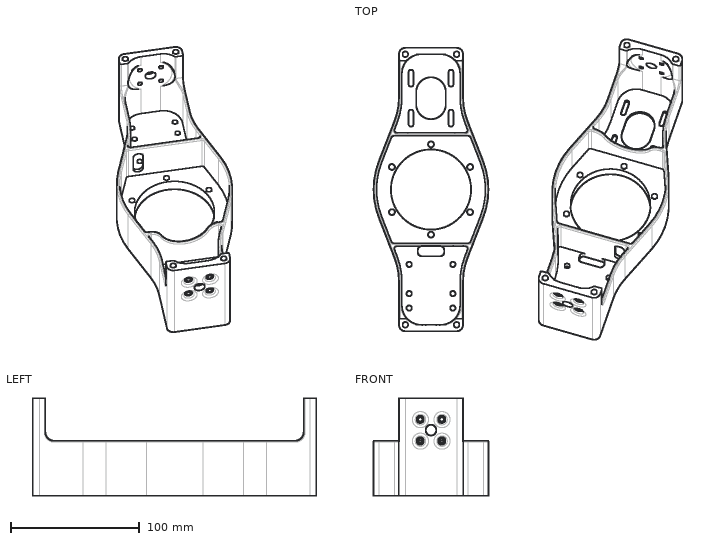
import cadquery as cq
import math

length = 220.0
height = 76.0
arm_width = 50.0
belly_width = 89.3
belly_radius = 60.0
neck_radius = 50.0
neck_center_y = 71.3
corner_radius = 5.0

wall = 2.5
belly_floor = 10.0
board_floor = 6.0
motor_floor = 2.6
end_wall = 5.0
pocket_corner_radius = 15.0
rib_inner_y = 41.5
rib_corner_radius = 2.0
rib_clearance = 0.5

rim_height = 43.0
post_depth = 10.0
saddle_radius = 6.5
rim_rounding = 1.0

dip_radius = 20.0
dip_shoulder_radius = 10.0
dip_depth = 17.2

window_width = 7.7
window_height = 22.0
window_x = 21.1
window_z = 25.0

shaft_z = 51.0
shaft_diameter = 8.1
screw_offset = 8.4
screw_diameter = 3.3
screw_seat_diameter = 5.7
screw_cone_diameter = 8.1
screw_mouth_radius = 3.0
hub_radius = 18.5
hub_rounding = 1.8
hub_length = 11.0

post_hole_diameter = 4.5
post_hole_depth = 15.0

bore_diameter = 62.0
bore_screw_circle = 70.0
bore_screw_count = 6
bore_screw_diameter = 4.5

motor_y = 70.8
motor_pitch = 31.0
motor_travel = 9.5
motor_boss_diameter = 22.9
motor_slot_width = 3.5

board_hole_diameter = 4.0
board_hole_x = 17.0
board_hole_rows = (-58.0, -80.7, -92.0)

cable_slot_length = 20.5
cable_slot_width = 7.7
cable_slot_radius = 3.0

tolerance = 0.0002

half_length = length / 2
rib_outer_y = rib_inner_y + wall
pocket_end_y = half_length - end_wall
saddle_end_y = half_length - post_depth
post_hole_x = arm_width / 2 - corner_radius
post_hole_y = half_length - corner_radius


def body_outline(inset, end_y):
    """Closed plan outline with a round belly and straight arms, moved inwards by `inset`."""
    arm_x = arm_width / 2 - inset
    belly_r = belly_radius - inset
    neck_r = neck_radius + inset
    belly_center_x = belly_width / 2 - belly_radius
    neck_center_x = arm_width / 2 + neck_radius

    dx = neck_center_x - belly_center_x
    turn = math.atan2(neck_center_y, dx) - math.acos(
        (belly_radius + neck_radius) / math.hypot(dx, neck_center_y)
    )

    def belly_point(angle):
        return belly_center_x + belly_r * math.cos(angle), belly_r * math.sin(angle)

    def neck_point(angle):
        return neck_center_x - neck_r * math.cos(angle), neck_center_y - neck_r * math.sin(angle)

    def mirror_y(point):
        return point[0], -point[1]

    def mirror_x(point):
        return -point[0], point[1]

    neck_start = (arm_x, neck_center_y)
    neck_middle = neck_point(turn / 2)
    neck_end = neck_point(turn)
    belly_start = belly_point(turn)
    belly_middle = belly_point(0)

    return (
        cq.Workplane("XY")
        .moveTo(-arm_x, end_y)
        .lineTo(arm_x, end_y)
        .lineTo(*neck_start)
        .threePointArc(neck_middle, neck_end)
        .lineTo(*belly_start)
        .threePointArc(belly_middle, mirror_y(belly_start))
        .lineTo(*mirror_y(neck_end))
        .threePointArc(mirror_y(neck_middle), mirror_y(neck_start))
        .lineTo(arm_x, -end_y)
        .lineTo(-arm_x, -end_y)
        .lineTo(*mirror_x(mirror_y(neck_start)))
        .threePointArc(mirror_x(mirror_y(neck_middle)), mirror_x(mirror_y(neck_end)))
        .lineTo(*mirror_x(mirror_y(belly_start)))
        .threePointArc(mirror_x(belly_middle), mirror_x(belly_start))
        .lineTo(*mirror_x(neck_end))
        .threePointArc(mirror_x(neck_middle), mirror_x(neck_start))
        .close()
    )


def slab(y_min, y_max):
    """Wide full-height block between two Y positions."""
    return (
        cq.Workplane("XY")
        .box(belly_width, y_max - y_min, height, centered=(True, False, False))
        .translate((0, y_min, 0))
    )


def make_pockets():
    """Three pockets separated by the two ribs, each with its own floor thickness."""
    hollow = body_outline(wall, pocket_end_y).extrude(height)
    middle = hollow.intersect(slab(-rib_inner_y, rib_inner_y)).translate((0, 0, belly_floor))
    middle = middle.edges("|Z").edges("<Y or >Y").fillet(rib_corner_radius)
    arm = hollow.intersect(slab(rib_outer_y, half_length))
    arm = arm.edges("|Z").edges("<Y").fillet(rib_corner_radius)
    arm = arm.edges("|Z").edges(">Y").fillet(pocket_corner_radius)
    motor_pocket = arm.translate((0, 0, motor_floor))
    board_pocket = arm.mirror("XZ").translate((0, 0, board_floor))
    return middle.union(motor_pocket).union(board_pocket)


def make_saddle():
    """Space between the end posts, rounded where it meets them."""
    return (
        slab(-saddle_end_y, saddle_end_y)
        .translate((0, 0, rim_height))
        .edges("|X and <Z")
        .fillet(saddle_radius)
    )


def make_rib_dip():
    """Round dip with tangent shoulders, cut through the +Y rib only."""
    turn = math.acos(1 - dip_depth / (dip_radius + dip_shoulder_radius))
    bottom_z = rim_height - dip_depth
    shoulder_x = (dip_radius + dip_shoulder_radius) * math.sin(turn)
    join_x = dip_radius * math.sin(turn)
    join_z = bottom_z + dip_radius * (1 - math.cos(turn))
    mid_x = shoulder_x - dip_shoulder_radius * math.sin(turn / 2)
    mid_z = rim_height - dip_shoulder_radius * (1 - math.cos(turn / 2))
    return (
        cq.Workplane("XZ", origin=(0, rib_outer_y + rib_clearance, 0))
        .moveTo(-shoulder_x, rim_height)
        .threePointArc((-mid_x, mid_z), (-join_x, join_z))
        .threePointArc((0, bottom_z), (join_x, join_z))
        .threePointArc((mid_x, mid_z), (shoulder_x, rim_height))
        .close()
        .extrude(wall + 2 * rib_clearance)
    )


def rim_edges(body, cutter):
    """Border edges of the surface left by `cutter`, without those on the post tops."""
    cut_surface = cutter.val().Shells()[0]

    def on_cut_surface(edge):
        return all(
            cut_surface.distance(cq.Vertex.makeVertex(*edge.positionAt(t).toTuple())) < tolerance
            for t in (0, 0.5, 1)
        )

    rim_faces = [f for f in body.faces().vals() if all(on_cut_surface(e) for e in f.Edges())]
    edges = [e for f in rim_faces for e in f.Edges()]
    border = [e for e in edges if sum(e.isSame(other) for other in edges) == 1]
    return [e for e in border if e.Center().z < height - tolerance]


def make_screw_recess():
    """Screw hole along +Y from the origin: rounded mouth, 45 degree cone, flat seat and through hole."""
    hole_r = screw_diameter / 2
    seat_r = screw_seat_diameter / 2
    cone_r = screw_cone_diameter / 2
    mouth_turn = math.radians(45)
    mouth_r = cone_r + screw_mouth_radius * math.sin(mouth_turn)
    cone_start_y = screw_mouth_radius * (1 - math.cos(mouth_turn))
    seat_y = cone_start_y + cone_r - seat_r
    mouth_middle = (
        mouth_r - screw_mouth_radius * math.sin(mouth_turn / 2),
        screw_mouth_radius * (1 - math.cos(mouth_turn / 2)),
    )
    return (
        cq.Workplane("XY")
        .lineTo(mouth_r, 0)
        .threePointArc(mouth_middle, (cone_r, cone_start_y))
        .lineTo(seat_r, seat_y)
        .lineTo(hole_r, seat_y)
        .lineTo(hole_r, end_wall)
        .lineTo(0, end_wall)
        .close()
        .revolve(360, (0, 0, 0), (0, 1, 0))
    )


def make_end_wall_cuts():
    """Shaft hole, four screw recesses and round hub clearance of the -Y end wall."""
    wall_plane = cq.Workplane("XZ", origin=(0, -pocket_end_y, shaft_z))
    shaft = wall_plane.circle(shaft_diameter / 2).extrude(end_wall)
    hub = wall_plane.circle(hub_radius).extrude(-hub_length).edges("<Y").fillet(hub_rounding)
    cuts = shaft.union(hub)
    for x in (-screw_offset, screw_offset):
        for z in (-screw_offset, screw_offset):
            cuts = cuts.union(make_screw_recess().translate((x, -half_length, shaft_z + z)))
    return cuts


def make_post_holes():
    """Blind holes in the post tops."""
    return (
        cq.Workplane("XY", origin=(0, 0, height - post_hole_depth))
        .rect(2 * post_hole_x, 2 * post_hole_y, forConstruction=True)
        .vertices()
        .circle(post_hole_diameter / 2)
        .extrude(post_hole_depth)
    )


def make_floor_openings():
    """Openings through the floor of all three pockets."""
    base = cq.Workplane("XY")
    bore = base.circle(bore_diameter / 2).extrude(belly_floor)
    bore_screws = (
        base.polarArray(bore_screw_circle / 2, 90, 360, bore_screw_count)
        .circle(bore_screw_diameter / 2)
        .extrude(belly_floor)
    )

    motor = base.center(0, motor_y)
    motor_boss = motor.slot2D(motor_boss_diameter + motor_travel, motor_boss_diameter, 90).extrude(belly_floor)
    motor_slots = (
        motor.rect(motor_pitch, motor_pitch, forConstruction=True)
        .vertices()
        .slot2D(motor_slot_width + motor_travel, motor_slot_width, 90)
        .extrude(belly_floor)
    )

    board_points = [(x, y) for x in (-board_hole_x, board_hole_x) for y in board_hole_rows]
    board_holes = base.pushPoints(board_points).circle(board_hole_diameter / 2).extrude(belly_floor)

    cable_slot = (
        base.center(0, -rib_outer_y - cable_slot_width / 2)
        .rect(cable_slot_length, cable_slot_width)
        .extrude(belly_floor)
        .edges("|Z")
        .fillet(cable_slot_radius)
    )
    return [bore, bore_screws, motor_boss, motor_slots, board_holes, cable_slot]


def make_rib_window():
    """Upright slot through the -Y rib."""
    return (
        cq.Workplane("XZ", origin=(window_x, -rib_inner_y, window_z))
        .slot2D(window_height, window_width, 90)
        .extrude(wall)
    )


rim_cutter = make_saddle().union(make_rib_dip())
body = body_outline(inset=0, end_y=half_length).extrude(height)
body = body.edges("|Z").edges("<Y or >Y").fillet(corner_radius)
body = body.cut(make_pockets()).cut(rim_cutter)
body = body.newObject(rim_edges(body, rim_cutter)).fillet(rim_rounding)

end_wall_cuts = make_end_wall_cuts()
body = body.cut(end_wall_cuts).cut(end_wall_cuts.mirror("XZ"))
body = body.cut(make_post_holes()).cut(make_rib_window())
for opening in make_floor_openings():
    body = body.cut(opening)

result = body